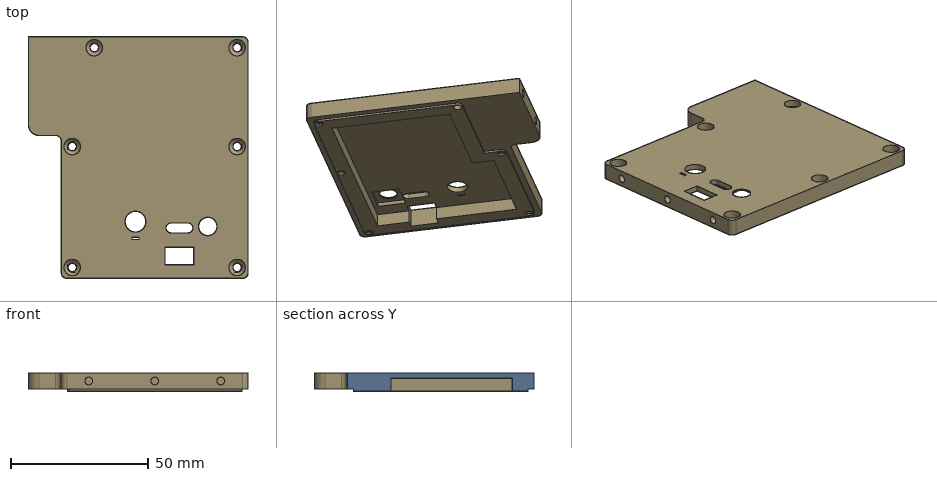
import cadquery as cq

width = 80.0
length = 88.0
height = 6.8
lip_height = 0.8
plate_thickness = height - lip_height

tab_reach = 12.0
tab_front = 52.0
tab_radius = 4.0
corner_radius = 2.0

rim_width = 8.0
rear_rim_left = 20.0
lip_inset = 2.2
panel_thickness = 2.0

screw_diameter = 3.0
head_diameter = 6.0
cone_height = (head_diameter - screw_diameter) / 2
head_depth = 4.5
shallow_head_depth = 2.4

edge_hole_diameter = 2.8
edge_hole_depth = 6.0
edge_hole_z = lip_height + plate_thickness / 2
front_hole_center_x = 46.0
front_hole_pitch = 24.0
left_hole_rear_y = 82.0
left_hole_pitch = 20.0

large_hole_x = 39.0
large_hole_y = 20.7
large_hole_diameter = 7.5
small_hole_x = 65.3
small_hole_y = 18.9
small_hole_diameter = 6.6
recess_side = 10.4
recess_skin = 0.5
socket_x = 55.0
slot_y = 18.4
slot_length = 9.8
slot_width = 3.5
window_y = 8.2
window_length = 10.4
window_width = 6.3
indicator_y = 14.6
indicator_length = 2.5
indicator_width = 0.7


def rim_corners(inset):
    """Corners of the stepped rim outline, moved inward by inset."""
    front = inset
    rear = length - inset
    right = width - inset
    left = tab_reach + inset
    rear_left = rear_rim_left + inset
    step = tab_front - inset
    return [(left, front), (right, front), (right, rear), (rear_left, rear), (rear_left, step), (left, step)]


def corner_at(point):
    """Selector for the vertical edge nearest to a plan position."""
    return cq.selectors.NearestToPointSelector((*point, lip_height + plate_thickness / 2))


def make_plate():
    outline = [
        (tab_reach, 0),
        (width, 0),
        (width, length),
        (0, length),
        (0, tab_front),
        (tab_reach, tab_front),
    ]
    plate = cq.Workplane("XY").workplane(offset=lip_height).polyline(outline).close().extrude(plate_thickness)
    for point in [(tab_reach, 0), (width, 0), (width, length), (tab_reach, tab_front)]:
        plate = plate.edges("|Z").edges(corner_at(point)).fillet(corner_radius)
    return plate.edges("|Z").edges(corner_at((0, tab_front))).fillet(tab_radius)


def make_lip():
    """Border below the plate, running up into it; all corners but the inside step are rounded."""
    corners = rim_corners(lip_inset)
    lip = cq.Workplane("XY").polyline(corners).close().extrude(plate_thickness)
    inside_step = corners[4]
    for point in corners:
        if point != inside_step:
            lip = lip.edges("|Z").edges(corner_at(point)).fillet(corner_radius)
    return lip


def make_pocket():
    """Cavity inside the rim, open at the bottom and closed by the top panel."""
    return cq.Workplane("XY").polyline(rim_corners(rim_width)).close().extrude(height - panel_thickness)


def make_recess():
    """Square recess in the pocket ceiling that leaves a thin skin around the small hole."""
    recess = cq.Workplane("XY").center(small_hole_x, small_hole_y).rect(recess_side, recess_side)
    return recess.extrude(height - recess_skin)


def make_screw_hole(center, depth):
    """Through hole with a cylindrical head recess that ends in a 90 degree cone."""
    head_radius = head_diameter / 2
    screw_radius = screw_diameter / 2
    cone_top = height - depth
    cone_bottom = cone_top - cone_height
    profile = [
        (0, 0),
        (screw_radius, 0),
        (screw_radius, cone_bottom),
        (head_radius, cone_top),
        (head_radius, height),
        (0, height),
    ]
    hole = cq.Workplane("XZ").polyline(profile).close().revolve(360, (0, 0), (0, 1))
    return hole.translate((*center, 0))


def cut_screw_holes(body):
    front_left, front_right, rear_right, rear_left, _, step_left = rim_corners(rim_width / 2)
    step_right = (front_right[0], step_left[1])
    for center in [front_left, front_right, rear_right, step_left, step_right]:
        body = body.cut(make_screw_hole(center, head_depth))
    return body.cut(make_screw_hole(rear_left, shallow_head_depth))


def cut_edge_holes(body):
    hole = cq.Workplane("XY").circle(edge_hole_diameter / 2).extrude(edge_hole_depth)
    front_hole = hole.rotate((0, 0, 0), (1, 0, 0), -90)
    left_hole = hole.rotate((0, 0, 0), (0, 1, 0), 90)
    for step in (-1, 0, 1):
        x = front_hole_center_x + step * front_hole_pitch
        body = body.cut(front_hole.translate((x, 0, edge_hole_z)))
    for y in (left_hole_rear_y, left_hole_rear_y - left_hole_pitch):
        body = body.cut(left_hole.translate((0, y, edge_hole_z)))
    return body


def cut_panel_openings(body):
    def plan_at(x, y):
        return cq.Workplane("XY").center(x, y)

    openings = [
        plan_at(large_hole_x, large_hole_y).circle(large_hole_diameter / 2),
        plan_at(small_hole_x, small_hole_y).circle(small_hole_diameter / 2),
        plan_at(socket_x, slot_y).slot2D(slot_length, slot_width),
        plan_at(socket_x, window_y).rect(window_length, window_width),
        plan_at(large_hole_x, indicator_y).rect(indicator_length, indicator_width),
    ]
    for opening in openings:
        body = body.cut(opening.extrude(height))
    return body


body = make_plate().union(make_lip()).cut(make_pocket()).cut(make_recess())
body = cut_screw_holes(body)
body = cut_edge_holes(body)
result = cut_panel_openings(body)